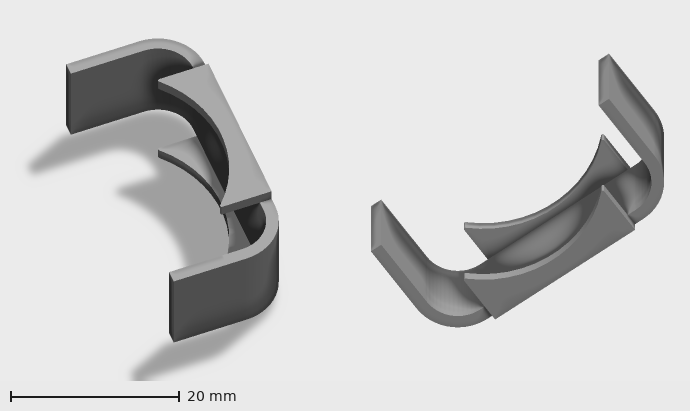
import cadquery as cq

strap_width = 34.7
strap_depth = 15.3
strap_height = 12.0
strap_thickness = 1.5
bend_outer_radius = 6.0
bend_inner_radius = bend_outer_radius - strap_thickness

plate_width = 20.4
plate_thickness = 1.5
web_depth = 2.45
horn_depth = 6.76
horn_radius = 0.2

strap_bottom = -strap_height / 2
strap_top = strap_height / 2


def make_u_area(width, back_y, bend_radius):
    """Solid U outline, with its two back corners rounded."""
    front_y = -strap_depth
    return (
        cq.Workplane("XY", origin=(0, 0, strap_bottom))
        .center(0, (back_y + front_y) / 2)
        .rect(width, back_y - front_y)
        .extrude(strap_height)
        .edges("|Z and >Y")
        .fillet(bend_radius)
    )


def make_strap():
    outside = make_u_area(strap_width, 0, bend_outer_radius)
    inside = make_u_area(strap_width - 2 * strap_thickness, -strap_thickness, bend_inner_radius)
    return outside.cut(inside)


def make_saddle_plate(bottom_z):
    """Plate flush with the back of the strap, with a concave front edge between two rounded horns."""
    half_width = plate_width / 2
    return (
        cq.Workplane("XY", origin=(0, 0, bottom_z))
        .moveTo(-half_width, 0)
        .lineTo(half_width, 0)
        .lineTo(half_width, -horn_depth)
        .threePointArc((0, -web_depth), (-half_width, -horn_depth))
        .close()
        .extrude(plate_thickness)
        .edges("|Z and <Y")
        .fillet(horn_radius)
    )


result = make_strap()
for plate_bottom in (strap_bottom - plate_thickness, strap_top):
    result = result.union(make_saddle_plate(plate_bottom))